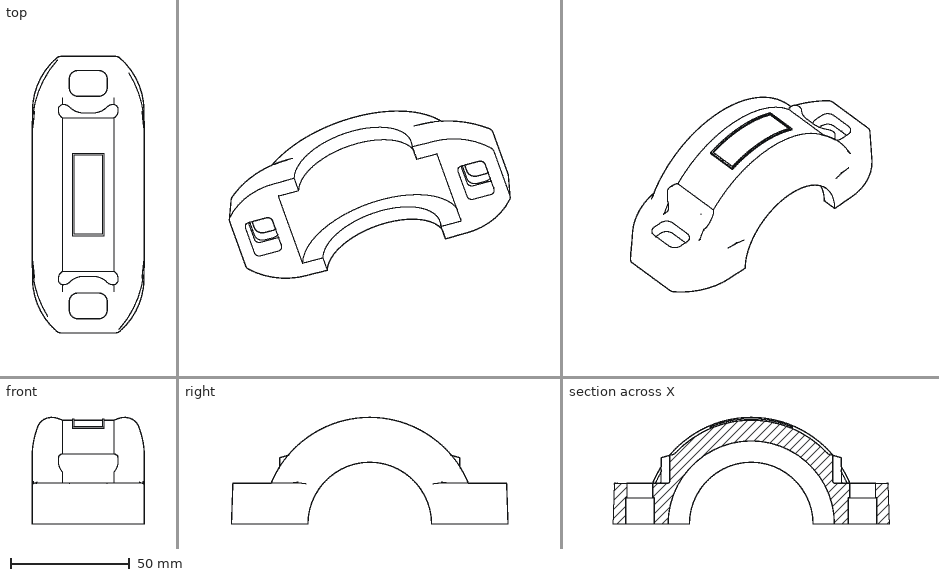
import cadquery as cq
import math


LENGTH = 116.5
WIDTH = 47.3
HALF_WIDTH = WIDTH / 2

RIDGE_RADIUS = 45.0
RIDGE_PEAK_X = 15.3
CHANNEL_RADIUS = 43.8
CHANNEL_FLAT_HALF = 10.8
CHANNEL_EDGE_HALF = 11.9
CHANNEL_EDGE_RADIUS = 44.1
SHOULDER_RADIUS = 40.3
SHOULDER_X = 21.5
RIDGE_BEND_X = 20.0
RIDGE_BEND_RADIUS = 43.0
CROWN_EDGE_X = 17.4
CROWN_EDGE_RADIUS = 44.7
FACE_RADIUS = 28.5

BORE_RADIUS = 26.0
LIP_THICKNESS = 6.4
GROOVE_RADIUS = 34.9

FLANGE_HEIGHT = 17.2
FLANGE_HALF_WIDTH = 23.5
FLANGE_FOOT = {"half_length": LENGTH / 2, "arc_start": 35.2, "end_half": 12.5}
FLANGE_TOP = {"half_length": 57.6, "arc_start": 28.8, "end_half": 12.0}
FLANGE_CORNER_RADIUS = 2.9
FLANGE_EDGE_RADIUS = 0.5

JOINT_RADIUS = 0.7
JOINT_MIN_Y = 23.3

SLOT_Y = 46.8
SLOT_LENGTH = 15.8
SLOT_WIDTH = 10.7
SLOT_CORNER_RADIUS = 3.5
RELIEF_OFFSET = 0.6
RELIEF_CORNER_RADIUS = 2.1
RELIEF_HEIGHT = 11.1

POCKET_HALF_WIDTH = 10.8
PAD_ROOT_Y = 29.1
PAD_ROOT_HALF_WIDTH = 11.6
PAD_INNER_Y = 32.6
PAD_INNER_HEIGHT = 29.5
PAD_TIP_X = 10.5
PAD_TIP_SIDE_RADIUS = 2.1
PAD_TIP_HEIGHT = 28.0
PAD_BEND_X = 7.9
PAD_BEND_ANGLE = 45.0
PAD_WALL_Y = 34.4
PAD_WALL_FLAT_HALF = 1.9
PAD_EDGE_RADIUS = 0.5

FRAME_HALF_WIDTH = 6.6
FRAME_HALF_LENGTH = 17.4
FRAME_RIM = 0.7
FRAME_HEIGHT = 0.6


def mirrored_ends(shape):
    """The shape together with its mirror image at the other end of the part."""
    return shape.union(shape.mirror("XZ"))


def arched_body():
    """Solid half ring with two rounded ridges and a shallow channel between them."""
    section = (
        cq.Workplane("XY")
        .moveTo(0, BORE_RADIUS)
        .lineTo(HALF_WIDTH, BORE_RADIUS)
        .lineTo(HALF_WIDTH, FACE_RADIUS)
        .tangentArcPoint((SHOULDER_X, SHOULDER_RADIUS), relative=False)
        .threePointArc((RIDGE_BEND_X, RIDGE_BEND_RADIUS), (CROWN_EDGE_X, CROWN_EDGE_RADIUS))
        .threePointArc((RIDGE_PEAK_X, RIDGE_RADIUS), (CHANNEL_EDGE_HALF, CHANNEL_EDGE_RADIUS))
        .lineTo(CHANNEL_FLAT_HALF, CHANNEL_RADIUS)
        .lineTo(0, CHANNEL_RADIUS)
        .mirrorY()
    )
    return section.revolve(180, (0, 0, 0), (1, 0, 0))


def flange_outline(half_length, arc_start, end_half):
    """Closed flange outline whose side arcs start tangent to the straight sides."""
    half_width = FLANGE_HALF_WIDTH
    inset = half_width - end_half
    run = half_length - arc_start
    radius = (inset ** 2 + run ** 2) / (2 * inset)
    half_angle = math.asin(run / radius) / 2
    mid_x = half_width - radius * (1 - math.cos(half_angle))
    mid_y = arc_start + radius * math.sin(half_angle)
    return (
        cq.Sketch()
        .segment((half_width, -arc_start), (half_width, arc_start))
        .arc((half_width, arc_start), (mid_x, mid_y), (end_half, half_length))
        .segment((end_half, half_length), (-end_half, half_length))
        .arc((-end_half, half_length), (-mid_x, mid_y), (-half_width, arc_start))
        .segment((-half_width, arc_start), (-half_width, -arc_start))
        .arc((-half_width, -arc_start), (-mid_x, -mid_y), (-end_half, -half_length))
        .segment((-end_half, -half_length), (end_half, -half_length))
        .arc((end_half, -half_length), (mid_x, -mid_y), (half_width, -arc_start))
        .assemble()
    )


def flange():
    """Drafted flange block with rounded end corners and a softened top edge."""
    foot = flange_outline(**FLANGE_FOOT)
    top = flange_outline(**FLANGE_TOP).moved(cq.Location(cq.Vector(0, 0, FLANGE_HEIGHT)))
    block = cq.Workplane("XY").placeSketch(foot, top).loft(ruled=True)
    end_corners = block.faces("<Y or >Y").edges("not #Z")
    block = end_corners.fillet(FLANGE_CORNER_RADIUS)
    return block.faces(">Z").edges().fillet(FLANGE_EDGE_RADIUS)


def joint_edges(half_width, min_y):
    """Selector for edges at the flange top surface of both ends, outside min_y."""
    low = FLANGE_HEIGHT - JOINT_RADIUS / 2
    high = FLANGE_HEIGHT + JOINT_RADIUS / 2
    front = cq.selectors.BoxSelector((-half_width, -RIDGE_RADIUS, low), (half_width, -min_y, high))
    back = cq.selectors.BoxSelector((-half_width, min_y, low), (half_width, RIDGE_RADIUS, high))
    return front + back


def blended_arch(arch, flange_block):
    """The arch with a small fillet all round its joint with the flange top."""
    slab = cq.Workplane("XY").rect(2 * LENGTH, 2 * LENGTH).extrude(FLANGE_HEIGHT)
    joint = arch.union(slab).edges(joint_edges(HALF_WIDTH, JOINT_MIN_Y))
    skirted = joint.fillet(JOINT_RADIUS)
    trim = flange_block.faces(">Z").wires().toPending().extrude(RIDGE_RADIUS)
    return arch.union(skirted.intersect(trim))


def pipe_bore():
    """Bore through the end lips with a wider gasket groove between them."""
    bore = cq.Workplane("YZ").circle(BORE_RADIUS).extrude(HALF_WIDTH, both=True)
    groove = cq.Workplane("YZ").circle(GROOVE_RADIUS).extrude(HALF_WIDTH - LIP_THICKNESS, both=True)
    return bore.union(groove)


def rounded_slot(length, width, corner_radius, height):
    """Slot-shaped prism standing on Z = 0 at the bolt position."""
    slot = cq.Workplane("XY").center(0, SLOT_Y).rect(length, width).extrude(height)
    return slot.edges("|Z").fillet(corner_radius)


def bolt_slots():
    """Slots through both ends of the flange, slightly wider in their lower part."""
    slot = rounded_slot(SLOT_LENGTH, SLOT_WIDTH, SLOT_CORNER_RADIUS, FLANGE_HEIGHT)
    relief = rounded_slot(
        SLOT_LENGTH + 2 * RELIEF_OFFSET, SLOT_WIDTH + 2 * RELIEF_OFFSET, RELIEF_CORNER_RADIUS, RELIEF_HEIGHT
    )
    return mirrored_ends(slot.union(relief))


def bolt_pockets():
    """Clearance above the flange, between the ridges, at both ends."""
    pocket = cq.Workplane("XY").box(
        2 * POCKET_HALF_WIDTH, RIDGE_RADIUS - PAD_INNER_Y, RIDGE_RADIUS, centered=(True, False, False)
    )
    return mirrored_ends(pocket.translate((0, PAD_INNER_Y, FLANGE_HEIGHT)))


def pads():
    """Sloping pads with a scooped outer wall that stand on the flange behind the bolt heads."""
    bend = math.radians(PAD_BEND_ANGLE)
    scoop_radius = (PAD_BEND_X - PAD_WALL_FLAT_HALF) / math.sin(bend)
    tip_radius = (PAD_TIP_X - PAD_BEND_X) / math.sin(bend)
    bend_y = PAD_WALL_Y + scoop_radius * (1 - math.cos(bend))
    tip_y = bend_y + tip_radius * (1 - math.cos(bend))
    outline = (
        cq.Workplane("XY")
        .moveTo(0, PAD_WALL_Y)
        .lineTo(PAD_WALL_FLAT_HALF, PAD_WALL_Y)
        .tangentArcPoint((PAD_BEND_X, bend_y), relative=False)
        .tangentArcPoint((PAD_TIP_X, tip_y), relative=False)
        .tangentArcPoint((PAD_TIP_SIDE_RADIUS, -PAD_TIP_SIDE_RADIUS))
        .tangentArcPoint((PAD_ROOT_HALF_WIDTH, PAD_INNER_Y), relative=False)
        .lineTo(PAD_ROOT_HALF_WIDTH, PAD_ROOT_Y)
        .lineTo(0, PAD_ROOT_Y)
        .mirrorY()
    )
    column = outline.extrude(RIDGE_RADIUS)
    slope = (PAD_TIP_HEIGHT - PAD_INNER_HEIGHT) / (tip_y - PAD_INNER_Y)
    root_height = PAD_INNER_HEIGHT + slope * (PAD_ROOT_Y - PAD_INNER_Y)
    profile = (
        cq.Workplane("YZ")
        .moveTo(PAD_ROOT_Y, FLANGE_HEIGHT - FLANGE_EDGE_RADIUS)
        .lineTo(PAD_ROOT_Y, root_height)
        .lineTo(RIDGE_RADIUS, root_height + slope * (RIDGE_RADIUS - PAD_ROOT_Y))
        .lineTo(RIDGE_RADIUS, FLANGE_HEIGHT - FLANGE_EDGE_RADIUS)
        .close()
        .extrude(HALF_WIDTH, both=True)
    )
    pad = column.intersect(profile)
    pad = pad.faces(">Z").edges("not <Y").fillet(PAD_EDGE_RADIUS)
    return mirrored_ends(pad)


def label_frame():
    """Thin raised border on the channel surface around the label area."""
    border = (
        cq.Workplane("XY")
        .rect(2 * FRAME_HALF_WIDTH, 2 * FRAME_HALF_LENGTH)
        .rect(2 * (FRAME_HALF_WIDTH - FRAME_RIM), 2 * (FRAME_HALF_LENGTH - FRAME_RIM))
        .extrude(RIDGE_RADIUS)
    )
    shell = (
        cq.Workplane("YZ")
        .circle(CHANNEL_RADIUS + FRAME_HEIGHT)
        .circle(GROOVE_RADIUS)
        .extrude(FRAME_HALF_WIDTH, both=True)
    )
    return border.intersect(shell)


flange_block = flange()
body = blended_arch(arched_body(), flange_block)
body = body.cut(bolt_pockets()).union(flange_block).union(pads())
body = body.edges(joint_edges(PAD_WALL_FLAT_HALF, PAD_ROOT_Y)).fillet(JOINT_RADIUS)
result = body.union(label_frame()).cut(pipe_bore()).cut(bolt_slots())